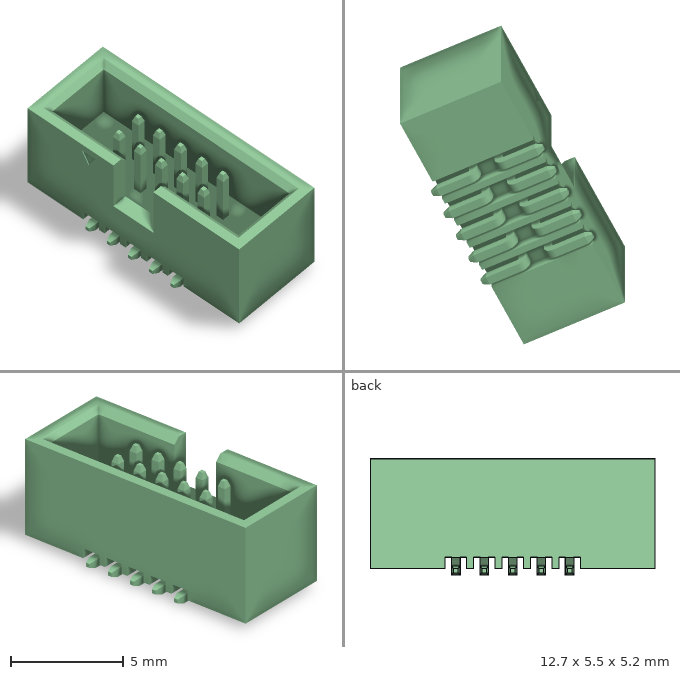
import cadquery as cq


LENGTH = 12.7
SPAN_ACROSS_FEET = 5.5
TOTAL_HEIGHT = 5.2

HOUSING_WIDTH = 5.0
STANDOFF = 0.29
RIM_WIDTH = 0.5
LEAD_IN_X = 0.28
LEAD_IN_Y = 0.3
LEAD_IN_DEPTH = 0.29
FLOOR_Z = 2.1

KEY_SLOT_WIDTH = 2.4
KEY_SLOT_DEPTH = 2.69

NOTCH_WIDTH = 0.94
NOTCH_HEIGHT = 0.5

MARK_WIDTH = 0.81
MARK_HEIGHT = 0.7
MARK_X = -2.69
MARK_TOP_GAP = 0.38
MARK_DEPTH = 0.05

COLUMNS = 5
PITCH = 1.27
OUTER_BEND_RADIUS = 0.46
INNER_BEND_RADIUS = 0.057
PIN_SIZE = OUTER_BEND_RADIUS - INNER_BEND_RADIUS
PIN_TOP_GAP = 0.29
TIP_LENGTH = 0.3
TIP_SIZE = 0.2

MOULDED_COLUMN = COLUMNS // 2

WALL_X = RIM_WIDTH + LEAD_IN_X
WALL_Y = RIM_WIDTH + LEAD_IN_Y
FRONT_Y = -HOUSING_WIDTH / 2
ROW_Y = PITCH / 2
FOOT_END_Y = SPAN_ACROSS_FEET / 2
PIN_TOP_Z = TOTAL_HEIGHT - PIN_TOP_GAP
column_places = [(i - (COLUMNS - 1) / 2) * PITCH for i in range(COLUMNS)]


def make_pin_tip():
    """Tapered tip standing on Z = 0, pointing up."""
    return (
        cq.Workplane("XY")
        .rect(PIN_SIZE, PIN_SIZE)
        .workplane(offset=TIP_LENGTH)
        .rect(TIP_SIZE, TIP_SIZE)
        .loft(ruled=True)
    )


def make_pin(x, side):
    """L-shaped pin: a contact post and a foot that points to +Y (side = 1) or -Y (side = -1)."""
    inner_y = ROW_Y - PIN_SIZE / 2
    outer_y = ROW_Y + PIN_SIZE / 2
    bend_y = inner_y + OUTER_BEND_RADIUS
    post_end_z = PIN_TOP_Z - TIP_LENGTH
    foot_end_y = FOOT_END_Y - TIP_LENGTH
    bent_bar = (
        cq.Workplane("YZ")
        .moveTo(inner_y, post_end_z)
        .lineTo(inner_y, OUTER_BEND_RADIUS)
        .radiusArc((bend_y, 0), -OUTER_BEND_RADIUS)
        .lineTo(foot_end_y, 0)
        .lineTo(foot_end_y, PIN_SIZE)
        .lineTo(bend_y, PIN_SIZE)
        .radiusArc((outer_y, OUTER_BEND_RADIUS), INNER_BEND_RADIUS)
        .lineTo(outer_y, post_end_z)
        .close()
        .extrude(PIN_SIZE / 2, both=True)
    )
    post_tip = make_pin_tip().translate((0, ROW_Y, post_end_z))
    foot_tip = make_pin_tip().rotate((0, 0, 0), (1, 0, 0), -90).translate((0, foot_end_y, PIN_SIZE / 2))
    pin = bent_bar.union(post_tip).union(foot_tip)
    if side < 0:
        pin = pin.mirror("XZ")
    return pin.translate((x, 0, 0))


def box_from(z_bottom, size_x, size_y, height):
    """Box centred in X and Y with its underside at z_bottom."""
    return cq.Workplane("XY", origin=(0, 0, z_bottom)).rect(size_x, size_y).extrude(height)


def make_lead_in():
    """Sloping cutter that widens the mouth of the cavity."""
    return (
        cq.Workplane("XY", origin=(0, 0, TOTAL_HEIGHT - LEAD_IN_DEPTH))
        .rect(LENGTH - 2 * WALL_X, HOUSING_WIDTH - 2 * WALL_Y)
        .workplane(offset=LEAD_IN_DEPTH)
        .rect(LENGTH - 2 * RIM_WIDTH, HOUSING_WIDTH - 2 * RIM_WIDTH)
        .loft(ruled=True)
    )


def make_first_pin_mark():
    """Triangular cutter, point down, sunk into the front face."""
    top_z = TOTAL_HEIGHT - MARK_TOP_GAP
    return (
        cq.Workplane("XZ", origin=(MARK_X, FRONT_Y, top_z))
        .polyline([(-MARK_WIDTH / 2, 0), (MARK_WIDTH / 2, 0), (0, -MARK_HEIGHT)])
        .close()
        .extrude(-MARK_DEPTH)
    )


def make_housing(moulded_pins, inserted_pins):
    body = box_from(STANDOFF, LENGTH, HOUSING_WIDTH, TOTAL_HEIGHT - STANDOFF)

    cavity_depth = TOTAL_HEIGHT - FLOOR_Z
    body = body.cut(box_from(FLOOR_Z, LENGTH - 2 * WALL_X, HOUSING_WIDTH - 2 * WALL_Y, cavity_depth))
    body = body.cut(make_lead_in())

    key_slot = box_from(TOTAL_HEIGHT - KEY_SLOT_DEPTH, KEY_SLOT_WIDTH, WALL_Y, KEY_SLOT_DEPTH)
    body = body.cut(key_slot.translate((0, FRONT_Y + WALL_Y / 2, 0)))

    for x in column_places:
        notch = box_from(STANDOFF, NOTCH_WIDTH, HOUSING_WIDTH, NOTCH_HEIGHT)
        body = body.cut(notch.translate((x, 0, 0)))

    body = body.cut(make_first_pin_mark())

    for pin in inserted_pins:
        body = body.cut(pin)
    for pin in moulded_pins:
        body = body.union(pin)
    return body


inserted_pins = []
moulded_pins = []
for column, x in enumerate(column_places):
    pair = [make_pin(x, side) for side in (-1, 1)]
    if column == MOULDED_COLUMN:
        moulded_pins.extend(pair)
    else:
        inserted_pins.extend(pair)

housing = make_housing(moulded_pins, inserted_pins)

result = cq.Compound.makeCompound([housing.val(), *[pin.val() for pin in inserted_pins]])